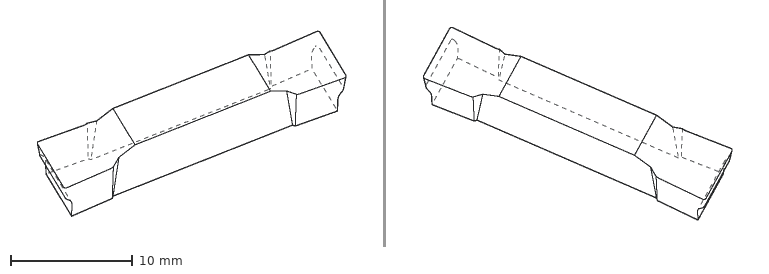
import cadquery as cq
import math

length = 25.88
tip_width = 5.28
height = 5.98
half_length = length / 2

seat_height = 4.6
ramp_start = 6.73
ramp_angle = 30.0
ramp_fillet = 0.28
tip_lower_height = 2.87
tip_relief = 0.18
shank_inset = 0.75
relief_arc_bottom = 1.73
corner_radius = 0.2

body_width = 4.15
head_length = 4.55
head_taper = 0.18
flank_draft = 0.2
neck_end_base = 4.7
neck_end_seat = 5.2


def flank_outline(z):
    """Plan outline at height z: tapered heads, sloping necks and a straight body."""
    seat_fraction = z / seat_height
    tip_x = tip_width / 2 - flank_draft * (1 - seat_fraction)
    head_x = tip_x - head_taper
    body_x = body_width / 2
    head_y = half_length - head_length
    neck_inset = neck_end_base + (neck_end_seat - neck_end_base) * seat_fraction
    neck_y = half_length - neck_inset
    quarter = [(tip_x, half_length), (head_x, head_y), (body_x, neck_y)]
    right = quarter + [(x, -y) for x, y in reversed(quarter)]
    left = [(-x, y) for x, y in reversed(right)]
    return right + left


def make_flanks():
    """Full-height block bounded by the drafted flanks."""
    return (
        cq.Workplane("XY").polyline(flank_outline(0)).close()
        .workplane(offset=height).polyline(flank_outline(height)).close()
        .loft(ruled=True)
    )


def make_profile():
    """Lengthwise YZ profile extruded across the width, with the tip corners left sharp."""
    ramp_run = (height - seat_height) / math.tan(math.radians(ramp_angle))
    ramp_top_y = half_length - ramp_start
    ramp_foot_y = ramp_top_y + ramp_run
    shank_y = half_length - shank_inset
    tip_lower_y = half_length - tip_relief

    arc_run = shank_inset - tip_relief
    arc_rise = tip_lower_height - relief_arc_bottom
    arc_radius = (arc_run**2 + arc_rise**2) / (2 * arc_run)
    half_sweep = math.asin(arc_rise / arc_radius) / 2
    arc_mid = (
        shank_y + arc_radius * (1 - math.cos(half_sweep)),
        relief_arc_bottom + arc_radius * math.sin(half_sweep),
    )

    extrusion_width = 2 * tip_width
    profile = (
        cq.Workplane("YZ")
        .moveTo(-shank_y, 0)
        .lineTo(shank_y, 0)
        .lineTo(shank_y, relief_arc_bottom)
        .threePointArc(arc_mid, (tip_lower_y, tip_lower_height))
        .lineTo(half_length, seat_height)
        .lineTo(ramp_foot_y, seat_height)
        .lineTo(ramp_top_y, height)
        .lineTo(-ramp_top_y, height)
        .lineTo(-ramp_foot_y, seat_height)
        .lineTo(-half_length, seat_height)
        .lineTo(-tip_lower_y, tip_lower_height)
        .threePointArc((-arc_mid[0], arc_mid[1]), (-shank_y, relief_arc_bottom))
        .close()
        .extrude(extrusion_width / 2, both=True)
    )
    for side in (-1, 1):
        ramp_foot = cq.selectors.NearestToPointSelector((0, side * ramp_foot_y, seat_height))
        profile = profile.edges("|X").edges(ramp_foot).fillet(ramp_fillet)
    return profile


def round_tip_corners(insert):
    """Round the upright edges where each tip face meets the flanks."""
    corner_z = (seat_height + tip_lower_height) / 2
    for side_x in (-1, 1):
        for side_y in (-1, 1):
            point = (side_x * tip_width / 2, side_y * half_length, corner_z)
            corner = cq.selectors.NearestToPointSelector(point)
            insert = insert.edges(corner).fillet(corner_radius)
    return insert


result = round_tip_corners(make_flanks().intersect(make_profile()))